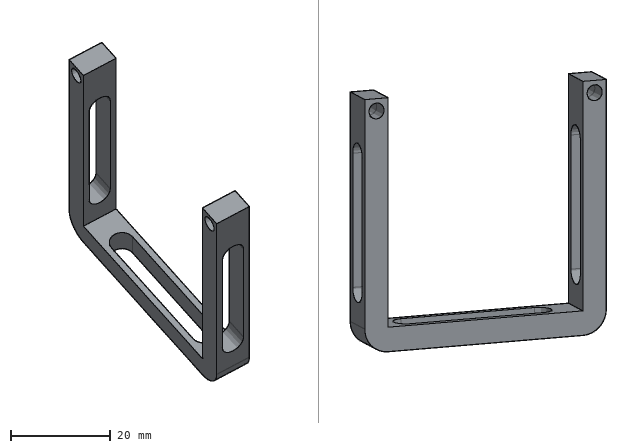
import cadquery as cq

size = 52.3
depth = 8.0
wall = 5.05
corner_radius = 5.05

hole_diameter = 3.25
hole_inset = wall / 2

slot_width = 5.1
arm_slot_length = 32.75
base_slot_length = 34.0
base_slot_offset = 1.25

half = size / 2


def bracket_body():
    """Square block with rounded lower corners, opened to a U from above."""
    block = cq.Workplane("XY").box(size, depth, size)
    block = block.edges("|Y and <Z").fillet(corner_radius)
    opening = (
        cq.Workplane("XY")
        .box(size - 2 * wall, depth, size - wall)
        .translate((0, 0, wall / 2))
    )
    return block.cut(opening)


def pin_holes():
    """Cylinders along Y, one through the tip of each arm."""
    hole_x = half - hole_inset
    return (
        cq.Workplane("XZ")
        .pushPoints([(-hole_x, hole_x), (hole_x, hole_x)])
        .circle(hole_diameter / 2)
        .extrude(depth, both=True)
    )


def arm_slots():
    """Vertical slot along X through both arms."""
    return (
        cq.Workplane("YZ")
        .slot2D(arm_slot_length, slot_width, 90)
        .extrude(size, both=True)
    )


def base_slot():
    """Slot along Z through the base, off centre towards +X."""
    return (
        cq.Workplane("XY")
        .center(base_slot_offset, 0)
        .slot2D(base_slot_length, slot_width)
        .extrude(size, both=True)
    )


result = bracket_body().cut(pin_holes()).cut(arm_slots()).cut(base_slot())